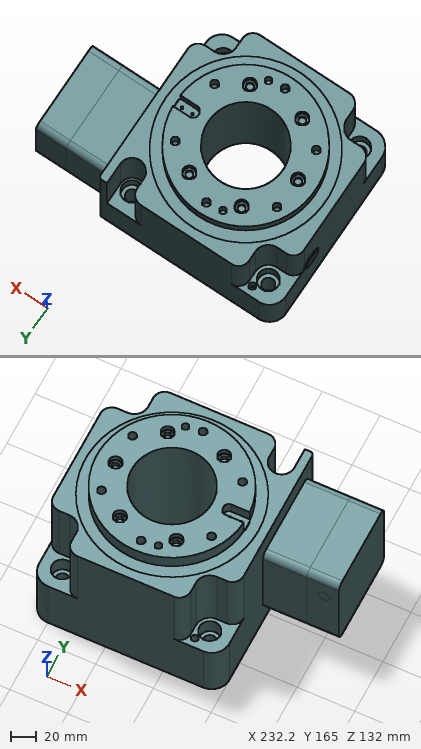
import cadquery as cq
import math

HOUSING_SIDE = 165.0
HALF_SIDE = HOUSING_SIDE / 2
TOTAL_HEIGHT = 132.0
TABLE_RISE = 13.0
DECK_Z = TOTAL_HEIGHT - TABLE_RISE
LEDGE_Z = 55.0
CORNER_RADIUS = 15.3
WALL_CORNER_RADIUS = 3.0

MOUNT_OFFSET = 63.8
MOUNT_HOLE_D = 11.1
MOUNT_BORE_D = 18.0
MOUNT_BORE_DEPTH = 15.0
NOTCH_RADIUS = 12.0
POCKET_RADIUS = 11.0
FLARE_RADIUS = 10.0
FLARE_REACH = FLARE_RADIUS * math.sqrt(0.5)
LOCATING_X = 56.1
LOCATING_Y = 74.7
LOCATING_HOLE_D = 4.9
LOCATING_BORE_D = 6.0
LOCATING_BORE_DEPTH = 12.0

MOTOR_Y = 32.0
MOTOR_Z = 59.9
MOTOR_SIDE = 80.0
MOTOR_LENGTH = 66.0
MOTOR_FRONT_LENGTH = 37.8
MOTOR_EDGE_RADIUS = 6.3
BUTTON_D = 10.5
BUTTON_X = HALF_SIDE + 52.7
BUTTON_Z = 76.5
BUTTON_DEPTH = 4.6
PLUG_D = 20.0
PLUG_HEIGHT = 1.2
PLUG_TOP_D = PLUG_D - 2 * PLUG_HEIGHT

TABLE_D = 130.0
HUB_D = 149.6
BORE_D = 69.8
OUTER_HOLE_R = 55.0
THREAD_HOLE_D = 7.0
THREAD_HOLE_DEPTH = 15.0
DRILL_TIP_ANGLE = 118
THREAD_HOLE_ANGLES = [30 + 60 * i for i in range(6)]
DOWEL_HOLE_D = 6.0
DOWEL_HOLE_DEPTH = 12.0
DOWEL_ANGLES = [105, 285]
SCREW_R = 49.0
SCREW_ANGLES = [60 * i for i in range(1, 6)]
SCREW_MOUTH_D = 11.1
SCREW_MOUTH_DEPTH = 5.0
SCREW_STEP_D = 10.2
SCREW_STEP_DEPTH = 5.5
SCREW_HOLE_D = 6.5
SCREW_HOLE_DEPTH = 10.0

SLOT_WIDTH = 10.5
SLOT_INNER_X = 44.3
SLOT_CORNER_RADIUS = 4.5
SLOT_FLOOR_Z = DECK_Z + 2.0
TAB_PROJECTION = 0.5
TAB_CORNER_RADIUS = 2.0
SLOT_PIN_D = 2.0
SLOT_PIN_DEPTH = 1.2
SLOT_PIN_XS = [49.9, 59.6]


def cylinder(x, y, bottom, top, diameter):
    return cq.Workplane("XY", origin=(x, y, bottom)).circle(diameter / 2).extrude(top - bottom)


def on_circle(radius, angle):
    return radius * math.cos(math.radians(angle)), radius * math.sin(math.radians(angle))


def corner_notch():
    """Notch for the +X +Y corner, with both mouths rounded into the housing sides."""
    edge = MOUNT_OFFSET - NOTCH_RADIUS
    arc_mid = MOUNT_OFFSET - NOTCH_RADIUS * math.sqrt(0.5)
    flare_start = edge - FLARE_RADIUS
    flare_end = HALF_SIDE - FLARE_RADIUS
    flare_mid = flare_start + FLARE_REACH
    flare_mid_out = flare_end + FLARE_REACH
    return (
        cq.Workplane("XY", origin=(0, 0, LEDGE_Z))
        .moveTo(HALF_SIDE, HALF_SIDE)
        .lineTo(flare_start, HALF_SIDE)
        .threePointArc((flare_mid, flare_mid_out), (edge, flare_end))
        .lineTo(edge, MOUNT_OFFSET)
        .threePointArc((arc_mid, arc_mid), (MOUNT_OFFSET, edge))
        .lineTo(flare_end, edge)
        .threePointArc((flare_mid_out, flare_mid), (HALF_SIDE, flare_start))
        .close()
        .extrude(DECK_Z - LEDGE_Z)
    )


def motor_side_pocket():
    """Round-ended notch open only to +Y, leaving a thin wall on the motor side."""
    left = MOUNT_OFFSET - POCKET_RADIUS
    right = MOUNT_OFFSET + POCKET_RADIUS
    flare_start = left - FLARE_RADIUS
    flare_end = HALF_SIDE - FLARE_RADIUS
    return (
        cq.Workplane("XY", origin=(0, 0, LEDGE_Z))
        .moveTo(right, HALF_SIDE)
        .lineTo(flare_start, HALF_SIDE)
        .threePointArc((flare_start + FLARE_REACH, flare_end + FLARE_REACH), (left, flare_end))
        .lineTo(left, MOUNT_OFFSET)
        .threePointArc((MOUNT_OFFSET, MOUNT_OFFSET - POCKET_RADIUS), (right, MOUNT_OFFSET))
        .close()
        .extrude(DECK_Z - LEDGE_Z)
    )


def housing_block():
    block = cq.Workplane("XY").box(HOUSING_SIDE, HOUSING_SIDE, DECK_Z, centered=(True, True, False))
    for sx in (-1, 1):
        for sy in (-1, 1):
            corner = (sx * HALF_SIDE, sy * HALF_SIDE, DECK_Z / 2)
            radius = WALL_CORNER_RADIUS if sx == sy == 1 else CORNER_RADIUS
            block = block.edges(cq.selectors.NearestToPointSelector(corner)).fillet(radius)

    notch = corner_notch()
    notch_left = notch.mirror("YZ")
    notch_front = notch.mirror("XZ")
    notch_front_left = notch_left.mirror("XZ")
    block = block.cut(notch_left).cut(notch_front).cut(notch_front_left)
    return block.cut(motor_side_pocket())


def stepped_hole(x, y, hole_d, bore_d, bore_depth):
    """Through hole with a wider bore sunk from the corner ledge."""
    hole = cylinder(x, y, 0, LEDGE_Z, hole_d)
    return hole.union(cylinder(x, y, LEDGE_Z - bore_depth, LEDGE_Z, bore_d))


def drill_corners(block):
    for sx in (-1, 1):
        for sy in (-1, 1):
            x = sx * MOUNT_OFFSET
            y = sy * MOUNT_OFFSET
            block = block.cut(stepped_hole(x, y, MOUNT_HOLE_D, MOUNT_BORE_D, MOUNT_BORE_DEPTH))
    for side in (-1, 1):
        x = side * LOCATING_X
        y = -side * LOCATING_Y
        block = block.cut(stepped_hole(x, y, LOCATING_HOLE_D, LOCATING_BORE_D, LOCATING_BORE_DEPTH))
    return block


def motor_section(start_x, length):
    return (
        cq.Workplane("YZ", origin=(start_x, MOTOR_Y, MOTOR_Z))
        .rect(MOTOR_SIDE, MOTOR_SIDE)
        .extrude(length)
        .edges("|X")
        .fillet(MOTOR_EDGE_RADIUS)
    )


def motor():
    """Motor and end cover, joined unmerged so the seam and the flush button outline remain."""
    front = motor_section(HALF_SIDE, MOTOR_FRONT_LENGTH)
    cover = motor_section(HALF_SIDE + MOTOR_FRONT_LENGTH, MOTOR_LENGTH - MOTOR_FRONT_LENGTH)
    button = (
        cq.Workplane("XZ", origin=(BUTTON_X, MOTOR_Y - MOTOR_SIDE / 2, BUTTON_Z))
        .circle(BUTTON_D / 2)
        .extrude(-BUTTON_DEPTH)
    )
    return front.union(cover, clean=False).union(button, clean=False)


def access_plug():
    return (
        cq.Workplane("YZ", origin=(-HALF_SIDE, MOTOR_Y, MOTOR_Z))
        .circle(PLUG_D / 2)
        .workplane(offset=-PLUG_HEIGHT)
        .circle(PLUG_TOP_D / 2)
        .loft()
    )


def make_housing():
    block = drill_corners(housing_block())
    block = block.cut(cylinder(0, 0, 0, DECK_Z, HUB_D))
    return block.union(access_plug()).union(motor(), clean=False)


def thread_hole(x, y):
    """Blind drilled hole with a conical bottom."""
    radius = THREAD_HOLE_D / 2
    tip = radius / math.tan(math.radians(DRILL_TIP_ANGLE / 2))
    return (
        cq.Workplane("XZ", origin=(x, y, TOTAL_HEIGHT))
        .polyline([(0, 0), (radius, 0), (radius, -THREAD_HOLE_DEPTH), (0, -THREAD_HOLE_DEPTH - tip)])
        .close()
        .revolve(360, (0, 0), (0, 1))
    )


def screw_hole(x, y):
    """Counterbored hole narrowing in two steps."""
    hole = cylinder(x, y, TOTAL_HEIGHT - SCREW_HOLE_DEPTH, TOTAL_HEIGHT, SCREW_HOLE_D)
    hole = hole.union(cylinder(x, y, TOTAL_HEIGHT - SCREW_STEP_DEPTH, TOTAL_HEIGHT, SCREW_STEP_D))
    return hole.union(cylinder(x, y, TOTAL_HEIGHT - SCREW_MOUTH_DEPTH, TOTAL_HEIGHT, SCREW_MOUTH_D))


def slot_block(end_x, bottom, top):
    length = end_x - SLOT_INNER_X
    return (
        cq.Workplane("XY", origin=(SLOT_INNER_X + length / 2, 0, bottom))
        .rect(length, SLOT_WIDTH)
        .extrude(top - bottom)
        .edges("|Z and <X")
        .fillet(SLOT_CORNER_RADIUS)
    )


def cut_sensor_slot(table):
    tab_end = TABLE_D / 2 + TAB_PROJECTION
    tab = slot_block(tab_end, DECK_Z, SLOT_FLOOR_Z).edges("|Z and >X").fillet(TAB_CORNER_RADIUS)
    table = table.cut(slot_block(tab_end, SLOT_FLOOR_Z, TOTAL_HEIGHT)).union(tab)
    for x in SLOT_PIN_XS:
        table = table.cut(cylinder(x, 0, SLOT_FLOOR_Z - SLOT_PIN_DEPTH, SLOT_FLOOR_Z, SLOT_PIN_D))
    return table


def make_table():
    table = cylinder(0, 0, 0, DECK_Z, HUB_D).union(cylinder(0, 0, DECK_Z, TOTAL_HEIGHT, TABLE_D))
    table = table.cut(cylinder(0, 0, 0, TOTAL_HEIGHT, BORE_D))
    for angle in THREAD_HOLE_ANGLES:
        table = table.cut(thread_hole(*on_circle(OUTER_HOLE_R, angle)))
    for angle in DOWEL_ANGLES:
        x, y = on_circle(OUTER_HOLE_R, angle)
        table = table.cut(cylinder(x, y, TOTAL_HEIGHT - DOWEL_HOLE_DEPTH, TOTAL_HEIGHT, DOWEL_HOLE_D))
    for angle in SCREW_ANGLES:
        table = table.cut(screw_hole(*on_circle(SCREW_R, angle)))
    return cut_sensor_slot(table)


housing = make_housing()
table = make_table()
result = cq.Compound.makeCompound([housing.val(), table.val()])